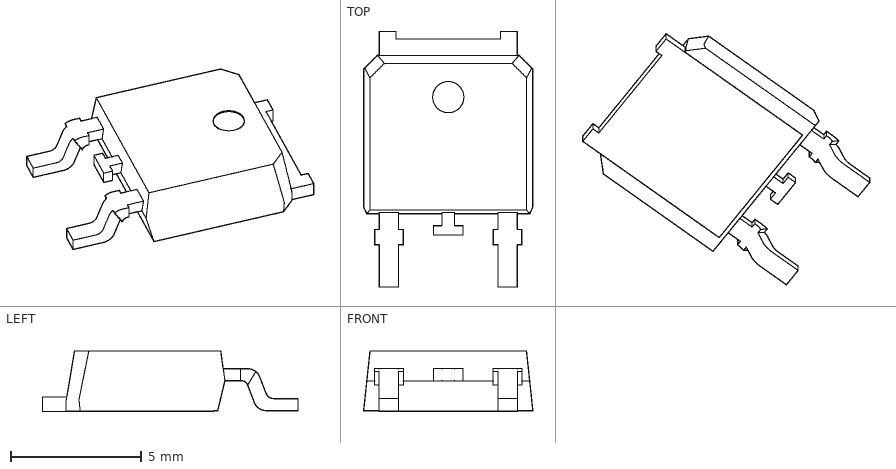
import cadquery as cq
import math

TOTAL_LENGTH = 9.8
BACK = TOTAL_LENGTH / 2
TOTAL_HEIGHT = 2.32

BODY_WIDTH = 6.5
BODY_TOP_WIDTH = 6.01
BODY_BOTTOM = 0.03
BODY_BACK = 3.99
BODY_BACK_TOP = 3.675
BACK_BEND_Z = 0.45
BODY_FRONT = -2.1
BODY_FRONT_TOP = -1.94
BODY_FRONT_BOTTOM = -1.82
CORNER_SUM_TOP = 6.125
CORNER_SUM_BOTTOM = 6.7
MARK_DIAMETER = 1.2
MARK_DEPTH = 0.05
MARK_Y = 2.38

TAB_WIDTH = 5.29
TAB_THICKNESS = 0.56
TAB_FRONT = -1.67
NOTCH_WIDTH = 4.0
NOTCH_DEPTH = 0.28

LEAD_BOTTOM = 1.18
LEAD_THICKNESS = 0.47
LEAD_TOP = LEAD_BOTTOM + LEAD_THICKNESS
LEAD_ROOT = -1.47
LEAD_WIDTH = 0.74
LEAD_OFFSET = (TAB_WIDTH - LEAD_WIDTH) / 2
SHOULDER_WIDTH = 1.1
SHOULDER_START = -2.69
SHOULDER_END_TOP = -3.28
SHOULDER_END_TOP_Z = 1.54
SHOULDER_END_BOTTOM = -2.97
SHOULDER_END_BOTTOM_Z = 1.01
LEAD_SLOPE = 69.0
BEND_TOP = -3.31
BEND_UNDER = -2.9
BEND_TOP_RADIUS = 0.51
BEND_UNDER_RADIUS = 0.245
FOOT_TOP_RADIUS = 0.3
FOOT_UNDER_RADIUS = 0.49

STUB_WIDTH = 0.49
STUB_HEAD_WIDTH = 1.14
STUB_HEAD_START = -2.55
STUB_END = -2.91


def box(width, y_min, y_max, z_min, z_max):
    """Block centred on X between the given Y and Z limits."""
    return (
        cq.Workplane("XY", origin=(0, 0, z_min))
        .center(0, (y_min + y_max) / 2)
        .rect(width, y_max - y_min)
        .extrude(z_max - z_min)
    )


def side_prism(points, width):
    """Prism centred on X with a (y, z) outline."""
    return cq.Workplane("YZ").polyline(points).close().extrude(width / 2, both=True)


def corner_cutter(side):
    """Material outside the 45 degree back corner; side is +1 or -1 along X."""
    top = CORNER_SUM_TOP / math.sqrt(2)
    bottom = CORNER_SUM_BOTTOM / math.sqrt(2)
    outside = BODY_WIDTH
    plane = cq.Plane(origin=(0, 0, 0), xDir=(side, 1, 0), normal=(1, -side, 0))
    points = [
        (bottom, 0),
        (bottom, BACK_BEND_Z),
        (top, TOTAL_HEIGHT),
        (outside, TOTAL_HEIGHT),
        (outside, 0),
    ]
    return cq.Workplane(plane).polyline(points).close().extrude(BODY_WIDTH, both=True)


def make_body():
    length_profile = [
        (BODY_FRONT_BOTTOM, BODY_BOTTOM),
        (BODY_BACK, BODY_BOTTOM),
        (BODY_BACK, BACK_BEND_Z),
        (BODY_BACK_TOP, TOTAL_HEIGHT),
        (BODY_FRONT_TOP, TOTAL_HEIGHT),
        (BODY_FRONT, LEAD_BOTTOM),
    ]
    width_profile = [
        (-BODY_WIDTH / 2, BODY_BOTTOM),
        (BODY_WIDTH / 2, BODY_BOTTOM),
        (BODY_TOP_WIDTH / 2, TOTAL_HEIGHT),
        (-BODY_TOP_WIDTH / 2, TOTAL_HEIGHT),
    ]
    tapered = cq.Workplane("XZ").polyline(width_profile).close().extrude(TOTAL_LENGTH, both=True)
    body = side_prism(length_profile, BODY_WIDTH).intersect(tapered)
    for side in (-1, 1):
        body = body.cut(corner_cutter(side))
    mark = (
        cq.Workplane("XY", origin=(0, MARK_Y, TOTAL_HEIGHT))
        .circle(MARK_DIAMETER / 2)
        .extrude(-MARK_DEPTH)
    )
    return body.cut(mark)


def make_tab():
    tab = box(TAB_WIDTH, TAB_FRONT, BACK, 0, TAB_THICKNESS)
    return tab.cut(box(NOTCH_WIDTH, BACK - NOTCH_DEPTH, BACK, 0, TAB_THICKNESS))


def bent_strip(width):
    """Gull-wing lead of constant width, centred on X."""
    run = 1 / math.tan(math.radians(LEAD_SLOPE))
    foot_top_z = BODY_BOTTOM + LEAD_THICKNESS
    foot_top = BEND_TOP - (LEAD_TOP - foot_top_z) * run
    foot_under = BEND_UNDER - (LEAD_BOTTOM - BODY_BOTTOM) * run
    points = [
        (LEAD_ROOT, LEAD_TOP),
        (BEND_TOP, LEAD_TOP),
        (foot_top, foot_top_z),
        (-BACK, foot_top_z),
        (-BACK, BODY_BOTTOM),
        (foot_under, BODY_BOTTOM),
        (BEND_UNDER, LEAD_BOTTOM),
        (LEAD_ROOT, LEAD_BOTTOM),
    ]
    bends = [
        (BEND_TOP, LEAD_TOP, BEND_TOP_RADIUS),
        (foot_top, foot_top_z, FOOT_TOP_RADIUS),
        (foot_under, BODY_BOTTOM, FOOT_UNDER_RADIUS),
        (BEND_UNDER, LEAD_BOTTOM, BEND_UNDER_RADIUS),
    ]
    strip = side_prism(points, width)
    for y, z, radius in bends:
        edge = cq.selectors.NearestToPointSelector((0, y, z))
        strip = strip.edges("|X").edges(edge).fillet(radius)
    return strip


def make_shoulder():
    """Wide section of a lead, ending on a slanted face in the upper bend."""
    end_run = SHOULDER_END_TOP - SHOULDER_END_BOTTOM
    end_rise = SHOULDER_END_TOP_Z - SHOULDER_END_BOTTOM_Z
    slant = end_run / end_rise
    end_at_top = SHOULDER_END_TOP + (LEAD_TOP - SHOULDER_END_TOP_Z) * slant
    zone = [
        (SHOULDER_START, SHOULDER_END_BOTTOM_Z),
        (SHOULDER_END_BOTTOM, SHOULDER_END_BOTTOM_Z),
        (end_at_top, LEAD_TOP),
        (SHOULDER_START, LEAD_TOP),
    ]
    return bent_strip(SHOULDER_WIDTH).intersect(side_prism(zone, SHOULDER_WIDTH))


def make_stub():
    neck = box(STUB_WIDTH, STUB_END, LEAD_ROOT, LEAD_BOTTOM, LEAD_TOP)
    head = box(STUB_HEAD_WIDTH, STUB_END, STUB_HEAD_START, LEAD_BOTTOM, LEAD_TOP)
    return neck.union(head)


result = make_body().union(make_tab()).union(make_stub())
lead = bent_strip(LEAD_WIDTH)
shoulder = make_shoulder()
for side in (-1, 1):
    result = result.union(lead.translate((side * LEAD_OFFSET, 0, 0)))
    result = result.union(shoulder.translate((side * LEAD_OFFSET, 0, 0)))